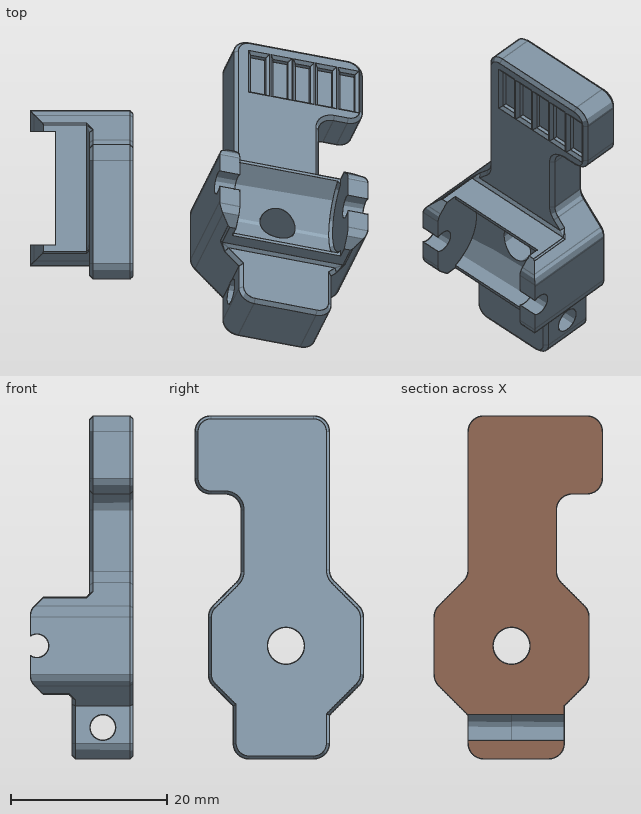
import cadquery as cq
import math


back_x = 13.15
neck_front_x = 7.55
tab_front_x = 5.3
wall_front_x = 3.2

block_half_width = 9.93
block_half_height = 6.25
corner_height = 4.52
crest_bevel_width = 0.25
crest_bevel_drop = 0.15
crest_z = block_half_height - crest_bevel_drop
crest_y = block_half_width + corner_height - crest_z
nose_corner_height = 4.55
nose_radius = 1.55

left_y = 5.58
neck_right_y = -5.75
tab_right_y = -6.75
head_right_y = -11.65
bottom_z = -14.5
top_z = bottom_z + 43.9
head_bottom_z = 19.4

corner_radius = 2.0
edge_chamfer = 0.5
back_chamfer = 0.4
root_chamfer = 0.4

seat_axis_x = 0.85
seat_radius = 6.3
seat_half_length = 7.25
seat_end_chamfer = 0.4
notch_diameter = 3.0
screw_hole_diameter = 4.7

pin_hole_diameter = 3.25
pin_hole_x = 9.25
pin_hole_z = -10.45

pocket_count = 5
pocket_pitch = 3.0
pocket_width = 2.8
pocket_bottom_z = 21.05
pocket_top_z = 27.8
pocket_middle_y = -3.65
pocket_chamfer = 0.4
pocket_depth = 0.92


def shoulder_height(y):
    """Height of the 45 degree shoulder line at a given distance from the middle."""
    return corner_height + block_half_width - abs(y)


def plate(front_x):
    """Whole lever outline, from front_x to the back, chamfered front and back."""
    outline = [
        (left_y, top_z),
        (head_right_y, top_z),
        (head_right_y, head_bottom_z),
        (neck_right_y, head_bottom_z),
        (neck_right_y, shoulder_height(neck_right_y)),
        (-block_half_width, corner_height),
        (-block_half_width, -corner_height),
        (tab_right_y, -shoulder_height(tab_right_y)),
        (tab_right_y, bottom_z),
        (left_y, bottom_z),
        (left_y, -shoulder_height(left_y)),
        (block_half_width, -corner_height),
        (block_half_width, corner_height),
        (left_y, shoulder_height(left_y)),
    ]
    solid = cq.Workplane("YZ", origin=(front_x, 0, 0)).polyline(outline).close().extrude(back_x - front_x)

    def is_rounded(edge):
        return not bottom_z < round(edge.Center().z, 3) < -corner_height

    rounded = solid.edges("|X").filter(is_rounded).fillet(corner_radius)
    return rounded.faces("<X").chamfer(edge_chamfer).faces(">X").chamfer(back_chamfer)


def closed_solid(polygons):
    """Solid bounded by flat polygons that share their edges."""
    faces = []
    for polygon in polygons:
        corners = [cq.Vector(*point) for point in polygon]
        faces.append(cq.Face.makeFromWires(cq.Wire.makePolygon(corners, close=True)))
    return cq.Workplane(cq.Solid.makeSolid(cq.Shell.makeShell(faces)).fix())


def block():
    """Octagonal block with 45 degree shoulders at its sides and 45 degree noses at its front."""
    left_half = [
        (crest_y - crest_bevel_width, block_half_height),
        (crest_y, crest_z),
        (block_half_width, corner_height),
    ]
    left_half += [(y, -z) for y, z in reversed(left_half)]
    outline = left_half + [(-y, -z) for y, z in left_half]
    end_x = neck_front_x + 2 * edge_chamfer
    across = cq.Workplane("YZ").polyline(outline).close().extrude(end_x)
    across = across.edges("|X").edges("<Y or >Y").fillet(corner_radius)

    nose_run = block_half_height - nose_corner_height
    profile = [
        (end_x, -block_half_height),
        (nose_run, -block_half_height),
        (0, -nose_corner_height),
        (0, nose_corner_height),
        (nose_run, block_half_height),
        (end_x, block_half_height),
    ]
    along = (
        cq.Workplane("XZ").polyline(profile).close().extrude(block_half_width, both=True)
        .edges("|Y").edges("<X").fillet(nose_radius)
    )
    return across.intersect(along)


def root(front_x):
    """Concave chamfer along the block top, its ends mitred into the chamfer of the shoulders."""
    inset = edge_chamfer / math.sqrt(2)
    line_x = front_x - root_chamfer
    back_edge_x = front_x + edge_chamfer
    root_top_z = block_half_height + root_chamfer
    mitre_y = shoulder_height(root_top_z) - 2 * inset

    toe = (line_x, crest_y - crest_bevel_width, block_half_height)
    toe_end = (line_x, crest_y, crest_z)
    mitre = (front_x, mitre_y, root_top_z)
    mitre_end = (back_edge_x, mitre_y + inset, root_top_z + inset)
    heel = (back_edge_x, crest_y, crest_z)

    def opposite(point):
        return (point[0], -point[1], point[2])

    loop = [toe, mitre, mitre_end, heel, toe_end]
    faces = []
    for start, end in zip(loop, loop[1:] + loop[:1]):
        faces.append([start, end, opposite(end), opposite(start)])
    for triangle in ([toe, mitre, mitre_end], [toe, mitre_end, toe_end], [toe_end, mitre_end, heel]):
        faces.append(triangle)
        faces.append([opposite(point) for point in triangle])
    return closed_solid(faces)


def tab():
    """Lower half of the lever outline, which stands further forward than the neck."""
    lower_half = cq.Workplane("XY").box(
        2 * back_x, 4 * block_half_width, -bottom_z, centered=(True, True, False)
    ).translate((0, 0, bottom_z))
    return plate(tab_front_x).intersect(lower_half)


def barrel_seat():
    """Space between the cheeks: round seat, open front, and a coned end on the -Y side."""
    length = 2 * seat_half_length
    seat = (
        cq.Workplane("XZ", origin=(seat_axis_x, seat_half_length, 0))
        .circle(seat_radius).extrude(length)
        .faces("<Y").chamfer(seat_end_chamfer)
    )
    opening = cq.Workplane("XY").box(
        wall_front_x, length, 4 * block_half_height, centered=(False, True, True)
    )
    return seat.union(opening)


def cross_hole(x, z, diameter):
    """Through hole along Y."""
    return cq.Workplane("XZ", origin=(x, 0, z)).circle(diameter / 2).extrude(2 * block_half_width, both=True)


def grip_pocket(middle_y):
    """Straight-walled pocket with a chamfered rim, sunk into the head from the front."""
    height = pocket_top_z - pocket_bottom_z
    middle_z = (pocket_top_z + pocket_bottom_z) / 2
    face = cq.Workplane("YZ", origin=(neck_front_x, middle_y, middle_z))
    floor_width = pocket_width - 2 * pocket_chamfer
    floor_height = height - 2 * pocket_chamfer
    rim = face.rect(pocket_width, height).workplane(offset=pocket_chamfer).rect(floor_width, floor_height)
    return rim.loft(ruled=True).union(face.rect(floor_width, floor_height).extrude(pocket_depth))


screw_hole = cq.Workplane("YZ").circle(screw_hole_diameter / 2).extrude(back_x)

result = plate(neck_front_x).union(tab()).union(block())
result = result.union(root(neck_front_x)).union(root(tab_front_x).mirror("XY"))
result = result.cut(barrel_seat()).cut(screw_hole)
result = result.cut(cross_hole(seat_axis_x, 0, notch_diameter))
result = result.cut(cross_hole(pin_hole_x, pin_hole_z, pin_hole_diameter))
for index in range(pocket_count):
    offset = index - (pocket_count - 1) / 2
    result = result.cut(grip_pocket(pocket_middle_y + offset * pocket_pitch))
result = result.clean()